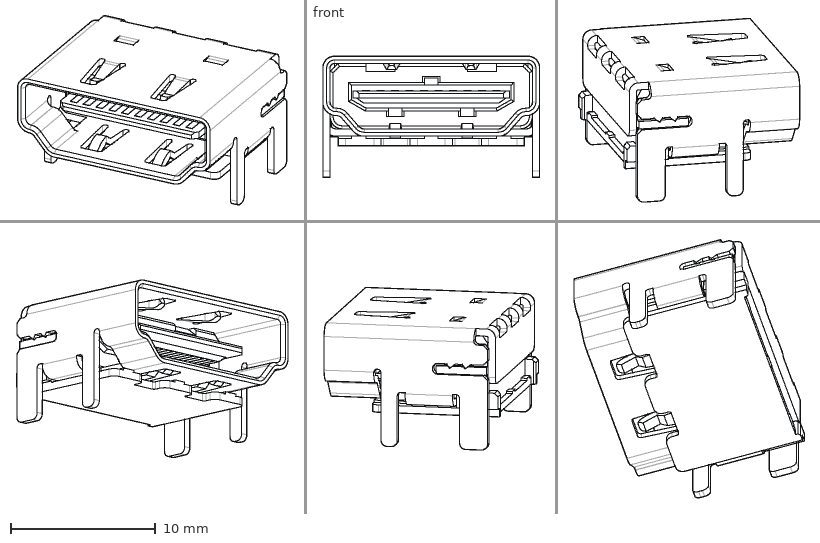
import cadquery as cq
import math


WIDTH = 15.0
HEIGHT = 5.54
WALL = 0.51
TOP_RADIUS = 0.81
FLOOR_RADIUS = 0.9
HALF = WIDTH / 2
INNER_HALF = HALF - WALL
CEILING = HEIGHT - WALL

MOUTH_DEPTH = 3.51
MOUTH_STEP_Z = 1.42
MOUTH_SIDE_RADIUS = 0.93
MOUTH_STEP_X = 6.35
MOUTH_FLOOR_X = 5.1
MOUTH_STEP_RADIUS = 0.45
MOUTH_FLOOR_RADIUS = 1.05
MOUTH_CHAMFER = 0.24

SIDE_REAR = 11.55
FLOOR_REAR = 9.22
SIDE_BOTTOM = 0.99
FLOOR_BEND_START = 5.73
FLOOR_BEND_END = 9.08
RELIEF_TOP = 2.56
LEG_FRONT_RELIEF = MOUTH_DEPTH + WALL

LEG_BOTTOM = -2.85
LEG_TIP_RADIUS = 0.44
LEGS = [(LEG_FRONT_RELIEF, 5.18), (9.57, SIDE_REAR)]
LEG_ROOT_RADIUS = 0.25

SLIT_LOW = 2.37
SLIT_HIGH = 3.14
SLIT_END = 7.66
SLIT_LEAD = 0.3
TOOTH_DROP = 0.32
TOOTH_TIPS = [8.86, 9.96]
TOOTH_FRONT = 0.2
TOOTH_REAR = 0.42

COVER_REAR = 11.94
COVER_FRONT = COVER_REAR - WALL
COVER_BOTTOM = 1.62
COVER_BEND_RADIUS = 0.63
COVER_CORNER = 0.52
NOTCH_FRONT = 10.58
NOTCH_BOTTOM = 4.53
NOTCH_RADIUS = 0.3
BEND_WINDOW_WIDTH = 2.54
BEND_WINDOW_PITCH = 3.99
BEND_WINDOW_FRONT = 11.24
BEND_WINDOW_BOTTOM = 4.65
BEND_WINDOW_RADIUS = 0.2

TOP_SPRING_X = 2.75
FLOOR_SPRING_X = 2.49
SPRING_ROOT = 5.05
SPRING_SHOULDER = 3.0
SPRING_BULGE = 0.14
SPRING_SAG = 0.38
SPRING_ROOT_HALF = 0.58
SPRING_CREST_HALF = 0.38
SPRING_TIP_RADIUS = 0.18
TOP_SPRING_BEND = 4.8
TOP_SPRING_DROP = 0.05
TOP_SPRING_TIP = 2.01
TOP_TIP_LIFT = WALL + 0.15
TOP_SPRING_CURL = math.radians(30)
TOP_SPRING_TIP_HALF = 0.22
FLOOR_SPRING_BEND = 3.51
FLOOR_SPRING_TIP = 1.56
FLOOR_TIP_LIFT = 0.18
FLOOR_SPRING_CURL = math.radians(54)
FLOOR_SPRING_TIP_HALF = 0.36
SLOT_HALF = 1.02
SLOT_WIDTH = 0.42
WINDOW_END = 1.26
TOP_WINDOW_END_HALF = 0.57
FLOOR_WINDOW_END_HALF = 0.81
WINDOW_RADIUS = 0.24
LATCH_X = 3.48
LATCH_WIDTH = 1.5
LATCH_FRONT = 8.19
LATCH_REAR = 9.06
LATCH_BEND = 0.28
LATCH_DROP = 0.27
LATCH_BEND_DROP = 0.06

BLOCK_FRONT = 6.0
BLOCK_CORNER = 0.54
BLOCK_FLOOR_RADIUS = 0.82
BLOCK_BEVEL = 0.21
BLOCK_REAR_CHAMFER = 0.45
LATCH_POCKET_DEPTH = 0.55
LATCH_POCKET_LENGTH = 0.75
LATCH_POCKET_INNER = 2.49
LATCH_POCKET_OUTER = 4.5
RIB_LOW = 2.4
RIB_HIGH = 2.94
RIB_END = 7.89
RIB_HALF = 7.35

COLLAR_FRONT = 5.68
COLLAR_HALF = 5.52
COLLAR_TOP = 3.52
COLLAR_SHOULDER = 2.52
COLLAR_FLOOR = 1.94
COLLAR_FLOOR_HALF = 4.5
COLLAR_FLARE = 0.2
KEY_MARGIN = 0.12
KEY_WIDTH = 1.2
KEY_STEP = 0.03
TOP_KEY_Z = 4.14
FLOOR_KEY_X = 2.49
FLOOR_KEY_Z = 1.35

TONGUE_FRONT = 2.01
TONGUE_HALF = 5.4
TONGUE_LOW = 2.65
TONGUE_HIGH = 3.14
TONGUE_TOP_CHAMFER = 0.18
ROOT_FRONT = 3.75
ROOT_LOW = 2.3
ROOT_TOP_HALF = 5.19
ROOT_LOW_HALF = 4.68
ROOT_RAMP = 0.21
TONGUE_SIDE_CHAMFER = 0.4
CONTACT_PITCH = 1.0
CONTACT_WIDTH = 0.5
TOP_CONTACT_FRONT = 2.62
LOW_CONTACT_FRONT = ROOT_FRONT + ROOT_RAMP
CONTACT_PROUD = 0.02
TOP_CONTACTS = 10
LOW_CONTACTS = 9

BASE_BOTTOM = -0.68
BASE_TOP = -0.15
BASE_HALF = 6.44
BASE_FRONT = 3.12
BASE_REAR = 11.85
BAY_INNER = 1.47
BAY_OUTER = 3.46
BAY_DEPTH = 1.05
BAY_CORNER = 0.51
BAY_ROOT = 0.16
PAD_EDGES = [(-5.52, -4.52), (-0.45, 0.45), (4.52, 5.52)]
FOOT_STEP = -0.06
FOOT_HALF = 6.93
FOOT_INNER = 5.88
FOOT_FRONT = 9.22
FOOT_REAR = 12.16
FOOT_TOP = 1.08
FOOT_CHAMFER = 0.24
FOOT_SIDE_CHAMFER = 0.14


def box(x0, x1, y0, y1, z0, z1):
    """Axis-aligned block between two corners."""
    return cq.Workplane("XY").box(x1 - x0, y1 - y0, z1 - z0, centered=False).translate((x0, y0, z0))


def front_plane(y):
    """Sketch plane with X and Z axes; a negative extrusion runs toward the rear."""
    return cq.Workplane("XZ", origin=(0, y, 0))


def side_plane(x):
    """Sketch plane with Y and Z axes, extruding toward +X."""
    return cq.Workplane("YZ", origin=(x, 0, 0))


def with_mirror(body):
    """The body together with its mirror image across the centre plane."""
    return body.union(body.mirror("YZ"))


def rounded_outline(plane, corners):
    """Closed outline through (u, v, radius) corners, each rounded by a tangent arc."""
    arcs = []
    for i, (u, v, radius) in enumerate(corners):
        before = corners[i - 1]
        after = corners[(i + 1) % len(corners)]
        here = cq.Vector(u, v)
        back = (cq.Vector(before[0], before[1]) - here).normalized()
        ahead = (cq.Vector(after[0], after[1]) - here).normalized()
        half_angle = back.getAngle(ahead) / 2
        reach = radius / math.tan(half_angle)
        middle = (back + ahead).normalized() * (radius / math.sin(half_angle) - radius)
        arcs.append([here + back * reach, here + middle, here + ahead * reach])
    outline = plane.moveTo(arcs[0][2].x, arcs[0][2].y)
    for start, mid, end in arcs[1:] + arcs[:1]:
        outline = outline.lineTo(start.x, start.y)
        outline = outline.threePointArc((mid.x, mid.y), (end.x, end.y))
    return outline.close()


def tube(corners, y0, y1):
    """Sheet-metal tube: the outline extruded from y0 to y1, WALL thick inward."""
    outer = rounded_outline(front_plane(y0), corners).extrude(y0 - y1)
    inner = rounded_outline(front_plane(y0), corners).offset2D(-WALL).extrude(y0 - y1)
    return outer.cut(inner)


def mouth():
    """Stepped plug opening with a chamfered inner rim."""
    right = [
        (HALF, HEIGHT, TOP_RADIUS),
        (HALF, MOUTH_STEP_Z, MOUTH_SIDE_RADIUS),
        (MOUTH_STEP_X, MOUTH_STEP_Z, MOUTH_STEP_RADIUS),
        (MOUTH_FLOOR_X, 0, MOUTH_FLOOR_RADIUS),
    ]
    left = [(-x, z, r) for x, z, r in reversed(right)]
    body = tube(right + left, 0, MOUTH_DEPTH)
    rim = body.faces("<Y").val().innerWires()[0]
    return body.newObject(rim.Edges()).chamfer(MOUTH_CHAMFER)


def rear_body():
    """Plain tube behind the mouth, opened along its lower edges except at the floor bends."""
    corners = [
        (HALF, HEIGHT, TOP_RADIUS),
        (HALF, 0, FLOOR_RADIUS),
        (-HALF, 0, FLOOR_RADIUS),
        (-HALF, HEIGHT, TOP_RADIUS),
    ]
    body = tube(corners, MOUTH_DEPTH, SIDE_REAR)
    body = body.cut(box(-INNER_HALF, INNER_HALF, FLOOR_REAR, SIDE_REAR, 0, WALL))
    for y0, y1 in [(MOUTH_DEPTH, FLOOR_BEND_START), (FLOOR_BEND_END, SIDE_REAR)]:
        body = body.cut(with_mirror(box(MOUTH_FLOOR_X, HALF, y0, y1, 0, SIDE_BOTTOM)))
    return body


def side_reliefs():
    """Round-topped gaps that part the mouth from the front legs."""
    radius = WALL / 2
    gap = (
        side_plane(INNER_HALF - FLOOR_RADIUS)
        .moveTo(MOUTH_DEPTH, 0)
        .lineTo(MOUTH_DEPTH, RELIEF_TOP - radius)
        .threePointArc((MOUTH_DEPTH + radius, RELIEF_TOP), (LEG_FRONT_RELIEF, RELIEF_TOP - radius))
        .lineTo(LEG_FRONT_RELIEF, 0)
        .close()
        .extrude(WALL + FLOOR_RADIUS)
    )
    return with_mirror(gap)


def legs():
    """Solder legs hanging from the side walls, with rounded inner roots."""
    group = cq.Workplane()
    for y0, y1 in LEGS:
        leg = box(INNER_HALF, HALF, y0, y1, LEG_BOTTOM, SIDE_BOTTOM)
        leg = leg.faces("<Z").edges("|X").fillet(LEG_TIP_RADIUS)
        group = group.add(leg)
    front_leg_rear = LEGS[0][1]
    rear_leg_front = LEGS[1][0]
    for y, step in [(front_leg_rear, LEG_ROOT_RADIUS), (rear_leg_front, -LEG_ROOT_RADIUS)]:
        inset = step * (1 - math.sqrt(0.5))
        root = (
            side_plane(INNER_HALF)
            .moveTo(y, SIDE_BOTTOM)
            .lineTo(y, SIDE_BOTTOM - LEG_ROOT_RADIUS)
            .threePointArc((y + inset, SIDE_BOTTOM - abs(inset)), (y + step, SIDE_BOTTOM))
            .close()
            .extrude(WALL)
        )
        group = group.add(root)
    return with_mirror(group.combine())


def side_slits():
    """Slits open to the rear, round at the closed end, with teeth left on the upper edge."""
    radius = (SLIT_HIGH - SLIT_LOW) / 2
    outline = (
        side_plane(INNER_HALF)
        .moveTo(SIDE_REAR, SLIT_LOW - SLIT_LEAD)
        .lineTo(SIDE_REAR - SLIT_LEAD, SLIT_LOW)
        .lineTo(SLIT_END + radius, SLIT_LOW)
        .threePointArc((SLIT_END, SLIT_LOW + radius), (SLIT_END + radius, SLIT_HIGH))
    )
    for tip in TOOTH_TIPS:
        outline = outline.lineTo(tip - TOOTH_FRONT, SLIT_HIGH)
        outline = outline.lineTo(tip, SLIT_HIGH - TOOTH_DROP)
        outline = outline.lineTo(tip + TOOTH_REAR, SLIT_HIGH)
    slit = (
        outline.lineTo(SIDE_REAR - SLIT_LEAD, SLIT_HIGH)
        .lineTo(SIDE_REAR, SLIT_HIGH + SLIT_LEAD)
        .close()
        .extrude(WALL)
    )
    return with_mirror(slit)


def cover_notch():
    """Clears the top sheet and upper side bends at the rear to make way for the folded cover."""
    notch = box(-HALF, HALF, NOTCH_FRONT, SIDE_REAR, NOTCH_BOTTOM, HEIGHT)
    notch = notch.edges("|X and <Y and <Z").fillet(NOTCH_RADIUS)
    lead = (
        side_plane(-HALF)
        .polyline([
            (SIDE_REAR, NOTCH_BOTTOM),
            (SIDE_REAR, NOTCH_BOTTOM - NOTCH_RADIUS),
            (SIDE_REAR - NOTCH_RADIUS, NOTCH_BOTTOM),
        ])
        .close()
        .extrude(WIDTH)
    )
    return notch.union(lead)


def rear_cover():
    """Top sheet folded down over the rear."""
    edge = HALF - TOP_RADIUS
    cover = box(-edge, edge, NOTCH_FRONT, COVER_REAR, COVER_BOTTOM, HEIGHT)
    cover = cover.edges(">Y and >Z").fillet(COVER_BEND_RADIUS)
    cover = cover.faces("<Z").edges("|Y").fillet(COVER_CORNER)
    inside = box(-edge, edge, NOTCH_FRONT, COVER_FRONT, COVER_BOTTOM, CEILING)
    inside = inside.edges(">Y and >Z").fillet(COVER_BEND_RADIUS - WALL)
    return cover.cut(inside)


def bend_windows():
    """Three windows through the fold of the rear cover."""
    windows = cq.Workplane()
    for i in (-1, 0, 1):
        x0 = i * BEND_WINDOW_PITCH - BEND_WINDOW_WIDTH / 2
        window = box(
            x0, x0 + BEND_WINDOW_WIDTH, BEND_WINDOW_FRONT, COVER_REAR, BEND_WINDOW_BOTTOM, HEIGHT
        )
        windows = windows.add(window.faces("<Z").edges("|Y").fillet(BEND_WINDOW_RADIUS))
    return windows.combine()


def spring_window(end_half):
    """Cutter around a spring, centred on X = 0: tapered opening with two round-ended side slots."""
    slot_inner = SLOT_HALF - SLOT_WIDTH
    slot_middle = SLOT_HALF - SLOT_WIDTH / 2
    slot_top = SPRING_ROOT + SLOT_WIDTH / 2
    return (
        cq.Workplane("XY")
        .moveTo(-end_half, WINDOW_END)
        .lineTo(-SLOT_HALF, SPRING_ROOT)
        .threePointArc((-slot_middle, slot_top), (-slot_inner, SPRING_ROOT))
        .lineTo(slot_inner, SPRING_ROOT)
        .threePointArc((slot_middle, slot_top), (SLOT_HALF, SPRING_ROOT))
        .lineTo(end_half, WINDOW_END)
        .close()
        .extrude(WALL)
        .edges("|Z and <Y")
        .fillet(WINDOW_RADIUS)
    )


def spring(bend_y, bend_rise, tip_y, tip_half, tip_lift, curl):
    """Spring for a floor sheet (Z from 0 to WALL): rises to a crest, then curls down to its tip."""
    crest = WALL + SPRING_SAG
    arc_y = (SPRING_SHOULDER + tip_y) / 2
    arc_z = (crest + tip_lift) / 2 + SPRING_BULGE * (SPRING_SHOULDER - tip_y)
    profile = (
        side_plane(-SPRING_ROOT_HALF)
        .moveTo(SPRING_ROOT, 0)
        .lineTo(SPRING_ROOT, WALL)
        .lineTo(bend_y, WALL + bend_rise)
        .lineTo(SPRING_SHOULDER, crest)
        .threePointArc((arc_y, arc_z), (tip_y, tip_lift))
        .lineTo(tip_y + WALL * math.sin(curl), tip_lift - WALL * math.cos(curl))
        .lineTo(SPRING_SHOULDER, crest - WALL)
        .lineTo(bend_y, bend_rise)
        .close()
        .extrude(2 * SPRING_ROOT_HALF)
    )
    plan = (
        cq.Workplane("XY", origin=(0, 0, -WALL))
        .polyline([
            (-SPRING_ROOT_HALF, SPRING_ROOT),
            (SPRING_ROOT_HALF, SPRING_ROOT),
            (SPRING_CREST_HALF, SPRING_SHOULDER),
            (tip_half, tip_y),
            (-tip_half, tip_y),
            (-SPRING_CREST_HALF, SPRING_SHOULDER),
        ])
        .close()
        .extrude(4 * WALL)
        .edges("|Z and <Y")
        .fillet(SPRING_TIP_RADIUS)
    )
    return profile.intersect(plan)


def latch():
    """Retaining tab pressed down from the top sheet over the insulator pocket."""
    bend = LATCH_REAR - LATCH_BEND
    tab = (
        side_plane(LATCH_X - LATCH_WIDTH / 2)
        .polyline([
            (LATCH_REAR, HEIGHT),
            (bend, HEIGHT - LATCH_BEND_DROP),
            (LATCH_FRONT, HEIGHT - LATCH_DROP),
            (LATCH_FRONT, CEILING - LATCH_DROP),
            (bend, CEILING - LATCH_BEND_DROP),
            (LATCH_REAR, CEILING),
        ])
        .close()
        .extrude(LATCH_WIDTH)
    )
    return with_mirror(tab)


def shell():
    """Complete sheet-metal shell."""
    body = mouth().union(rear_body()).cut(side_reliefs()).union(legs())
    body = body.cut(side_slits()).cut(cover_notch()).union(rear_cover()).cut(bend_windows())
    latch_opening = box(
        LATCH_X - LATCH_WIDTH / 2, LATCH_X + LATCH_WIDTH / 2, LATCH_FRONT, LATCH_REAR, CEILING, HEIGHT
    )
    body = body.cut(with_mirror(latch_opening)).union(latch())
    floor_spring = spring(
        FLOOR_SPRING_BEND, 0, FLOOR_SPRING_TIP,
        FLOOR_SPRING_TIP_HALF, FLOOR_TIP_LIFT, FLOOR_SPRING_CURL,
    )
    top_spring = spring(
        TOP_SPRING_BEND, TOP_SPRING_DROP, TOP_SPRING_TIP,
        TOP_SPRING_TIP_HALF, TOP_TIP_LIFT, TOP_SPRING_CURL,
    )
    top_spring = top_spring.mirror("XY").translate((0, 0, HEIGHT))
    for side in (-1, 1):
        top_x = side * TOP_SPRING_X
        floor_x = side * FLOOR_SPRING_X
        body = body.cut(spring_window(TOP_WINDOW_END_HALF).translate((top_x, 0, CEILING)))
        body = body.cut(spring_window(FLOOR_WINDOW_END_HALF).translate((floor_x, 0, 0)))
        body = body.union(top_spring.translate((top_x, 0, 0)))
        body = body.union(floor_spring.translate((floor_x, 0, 0)))
    return body


def collar():
    """Raised trapezoid around the tongue root, widening toward the block."""
    outline = [
        (-COLLAR_HALF, COLLAR_TOP),
        (COLLAR_HALF, COLLAR_TOP),
        (COLLAR_HALF, COLLAR_SHOULDER),
        (COLLAR_FLOOR_HALF, COLLAR_FLOOR),
        (-COLLAR_FLOOR_HALF, COLLAR_FLOOR),
        (-COLLAR_HALF, COLLAR_SHOULDER),
    ]
    front = front_plane(COLLAR_FRONT).polyline(outline).close().val()
    root = front_plane(BLOCK_FRONT).polyline(outline).close().offset2D(COLLAR_FLARE, "intersection").val()
    return cq.Workplane(cq.Solid.makeLoft([front, root], True))


def key(center_x, outer_z, inner_z, ramp_z):
    """Stepped key on the block face beside the collar, ramping down to the collar front."""
    half = KEY_WIDTH / 2
    low, high = sorted((outer_z, inner_z))
    pad = box(center_x - half, center_x + half, BLOCK_FRONT - KEY_STEP, BLOCK_FRONT, low, high)
    ramp = (
        side_plane(center_x - half + KEY_MARGIN)
        .polyline([(BLOCK_FRONT - KEY_STEP, ramp_z), (COLLAR_FRONT, inner_z), (BLOCK_FRONT, inner_z)])
        .close()
        .extrude(KEY_WIDTH - 2 * KEY_MARGIN)
    )
    return pad.union(ramp)


def latch_pockets():
    """Sloped pockets in the top of the insulator under the latches."""
    pocket = (
        side_plane(LATCH_POCKET_INNER)
        .polyline([
            (BLOCK_FRONT, CEILING),
            (BLOCK_FRONT, CEILING - LATCH_POCKET_DEPTH),
            (BLOCK_FRONT + LATCH_POCKET_LENGTH, CEILING),
        ])
        .close()
        .extrude(LATCH_POCKET_OUTER - LATCH_POCKET_INNER)
    )
    return with_mirror(pocket)


def tongue():
    """Chamfered tongue carrying staggered contact strips on both faces."""
    body = box(-TONGUE_HALF, TONGUE_HALF, TONGUE_FRONT, BLOCK_FRONT, TONGUE_LOW, TONGUE_HIGH)
    body = body.edges("<Y and |Z").chamfer(TONGUE_SIDE_CHAMFER)
    body = body.faces("<Y").edges(">Z").chamfer(TONGUE_TOP_CHAMFER)
    root_section = [
        (-ROOT_TOP_HALF, TONGUE_LOW),
        (ROOT_TOP_HALF, TONGUE_LOW),
        (ROOT_LOW_HALF, ROOT_LOW),
        (-ROOT_LOW_HALF, ROOT_LOW),
    ]
    root = front_plane(ROOT_FRONT).polyline(root_section).close().extrude(ROOT_FRONT - BLOCK_FRONT)
    ramp = (
        side_plane(-HALF)
        .polyline([(ROOT_FRONT, TONGUE_LOW), (ROOT_FRONT, ROOT_LOW), (ROOT_FRONT + ROOT_RAMP, ROOT_LOW)])
        .close()
        .extrude(WIDTH)
    )
    body = body.union(root.cut(ramp))
    rows = [
        (TOP_CONTACTS, TOP_CONTACT_FRONT, TONGUE_HIGH),
        (LOW_CONTACTS, LOW_CONTACT_FRONT, ROOT_LOW),
    ]
    for count, front, z in rows:
        for i in range(count):
            x = (i - (count - 1) / 2) * CONTACT_PITCH
            strip = box(
                x - CONTACT_WIDTH / 2, x + CONTACT_WIDTH / 2,
                front, BLOCK_FRONT, z - CONTACT_PROUD, z + CONTACT_PROUD,
            )
            body = body.union(strip)
    return body


def insulator():
    """Moulded block filling the rear of the shell, with side ribs lying in the slits."""
    block = box(-INNER_HALF, INNER_HALF, BLOCK_FRONT, COVER_FRONT, WALL, CEILING)
    block = block.faces(">Z").edges("|Y").chamfer(BLOCK_CORNER)
    block = block.faces("<Z").edges("|Y").fillet(BLOCK_FLOOR_RADIUS)
    block = block.faces("<Y").edges().chamfer(BLOCK_BEVEL)
    block = block.faces(">Y").edges(">Z").chamfer(BLOCK_REAR_CHAMFER)
    block = block.cut(latch_pockets()).union(collar()).union(tongue())
    block = block.union(key(0, TOP_KEY_Z, COLLAR_TOP, TOP_KEY_Z - KEY_MARGIN))
    block = block.union(with_mirror(key(FLOOR_KEY_X, FLOOR_KEY_Z, COLLAR_FLOOR, FLOOR_KEY_Z)))
    rib = box(-RIB_HALF, RIB_HALF, RIB_END, COVER_FRONT, RIB_LOW, RIB_HIGH)
    ribs = rib.cut(box(-INNER_HALF, INNER_HALF, RIB_END, COVER_FRONT, RIB_LOW, RIB_HIGH))
    return block.union(ribs)


def base():
    """Plate below the shell with three front lobes, raised pads and two rear feet."""
    plate = box(-BASE_HALF, BASE_HALF, BASE_FRONT, BASE_REAR, BASE_BOTTOM, BASE_TOP)
    bay = box(BAY_INNER, BAY_OUTER, BASE_FRONT, BASE_FRONT + BAY_DEPTH, BASE_BOTTOM, BASE_TOP)
    plate = plate.cut(with_mirror(bay))
    bay_rear = BASE_FRONT + BAY_DEPTH
    bay_roots = cq.selectors.BoxSelector(
        (-BASE_HALF, bay_rear - BAY_ROOT, BASE_BOTTOM), (BASE_HALF, bay_rear + BAY_ROOT, BASE_TOP)
    )
    plate = plate.edges("|Z and <Y").fillet(BAY_CORNER)
    plate = plate.edges("|Z").edges(bay_roots).fillet(BAY_ROOT)
    for x0, x1 in PAD_EDGES:
        plate = plate.union(box(x0, x1, BASE_FRONT, BASE_REAR, BASE_TOP, 0))
    plate = plate.union(box(-BASE_HALF, BASE_HALF, FOOT_FRONT, COVER_FRONT, BASE_TOP, WALL))
    foot = box(FOOT_INNER, FOOT_HALF, FOOT_FRONT, FOOT_REAR, FOOT_STEP, FOOT_TOP)
    foot = foot.union(box(FOOT_INNER, BASE_HALF, FOOT_FRONT, FOOT_REAR, BASE_BOTTOM, FOOT_STEP))
    foot = foot.edges(">Y and >Z").chamfer(FOOT_CHAMFER)
    foot = foot.edges("|Z and >Y and <X").chamfer(FOOT_SIDE_CHAMFER)
    return plate.union(with_mirror(foot))


result = shell().union(insulator()).union(base())